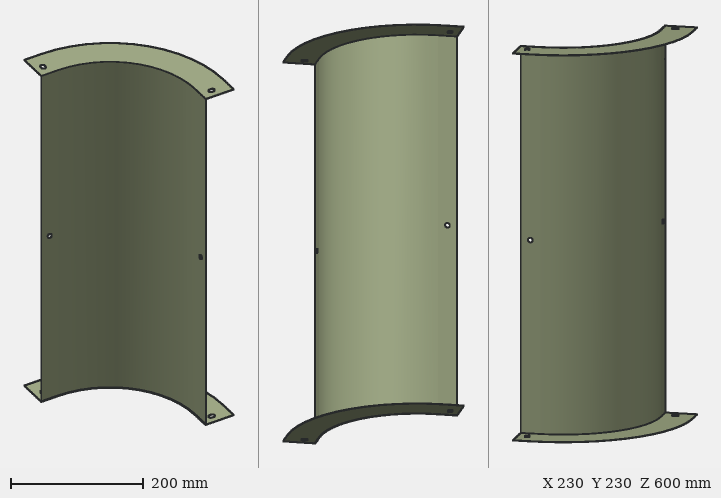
import cadquery as cq

height = 600.0
side = 230.0
straight = 30.0
flange_width = 50.0
thickness = 1.0
hole_diameter = 7.0
slot_length = 10.0
end_inset = 15.0
slot_inset = 30.0

outer_radius = side - straight
inner_radius = outer_radius - flange_width
wall_radius = inner_radius + thickness
slot_radius = outer_radius - slot_inset
hole_place = straight - end_inset


def quarter_band(radius_out, radius_in, depth):
    """Quarter ring with straight tangent ends, extruded upward from Z = 0."""
    diagonal = 0.5 ** 0.5
    return (
        cq.Workplane("XY")
        .moveTo(straight, radius_out)
        .lineTo(0, radius_out)
        .threePointArc((-radius_out * diagonal, radius_out * diagonal), (-radius_out, 0))
        .lineTo(-radius_out, -straight)
        .lineTo(-radius_in, -straight)
        .lineTo(-radius_in, 0)
        .threePointArc((-radius_in * diagonal, radius_in * diagonal), (0, radius_in))
        .lineTo(straight, radius_in)
        .close()
        .extrude(depth)
    )


def flange_slots():
    """Radial slots through both flanges, one near each straight end."""
    base = cq.Workplane("XY")
    back = base.center(hole_place, slot_radius).slot2D(slot_length, hole_diameter, 90).extrude(height)
    left = base.center(-slot_radius, -hole_place).slot2D(slot_length, hole_diameter, 0).extrude(height)
    return back.union(left)


def wall_holes():
    """Round holes at mid height through the two flat stretches of the wall."""
    middle = height / 2
    radius = hole_diameter / 2
    back = cq.Solid.makeCylinder(
        radius, outer_radius, cq.Vector(hole_place, 0, middle), cq.Vector(0, 1, 0)
    )
    left = cq.Solid.makeCylinder(
        radius, outer_radius, cq.Vector(0, -hole_place, middle), cq.Vector(-1, 0, 0)
    )
    return cq.Workplane(back).add(left).combine()


wall = quarter_band(wall_radius, inner_radius, height)
flange = quarter_band(outer_radius, inner_radius, thickness)
top_flange = flange.translate((0, 0, height - thickness))

result = wall.union(flange).union(top_flange).cut(flange_slots()).cut(wall_holes())